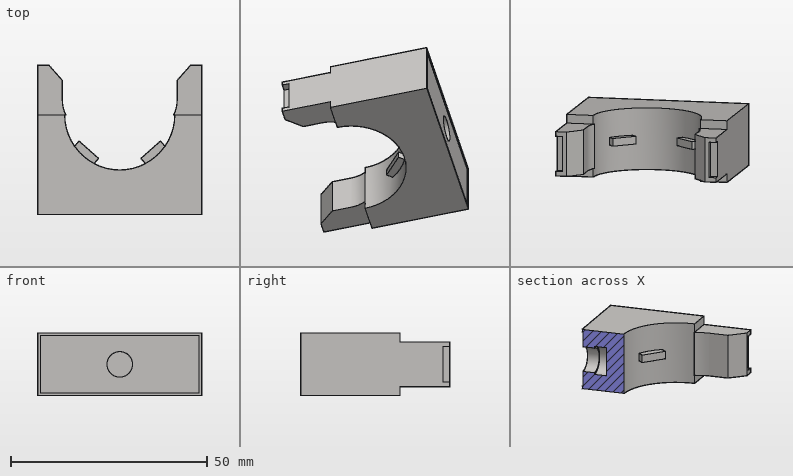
import cadquery as cq
import math

width = 41.91
base_length = 25.4
base_height = 16.0

total_length = 38.1
arm_height = 11.5
arm_inner_half_gap = 14.6
arm_curve_radius = 8.0
arm_root_half_gap = 13.7
tip_width = 2.9
lead_in_length = 3.9

notch_size = 1.778
notch_height = 9.1

bore_radius = 14.0

pad_length = 6.7
pad_face_distance = 11.85
pad_height = 2.0
pad_angle = 48.4

rim_width = 0.7
recess_depth = 0.23
hole_diameter = 6.5
hole_mouth_depth = 3.175
hole_depth = 6.35
hole_back_diameter = 7.4


def make_base():
    block = cq.Workplane("XY").box(width, base_length, base_height, centered=(True, False, True))
    bore = cq.Workplane("XY").center(0, base_length).circle(bore_radius).extrude(base_height)
    bore = bore.translate((0, 0, -base_height / 2))
    return block.cut(bore)


def make_arm():
    """Arm on the +X side, with its lead-in bevel, curved root and tip notch."""
    outer_x = width / 2
    inset = arm_inner_half_gap - arm_root_half_gap
    sweep = math.acos(1 - inset / arm_curve_radius)
    curve_end_y = base_length + arm_curve_radius * math.sin(sweep)
    curve_center_x = arm_inner_half_gap - arm_curve_radius
    curve_mid = (
        curve_center_x + arm_curve_radius * math.cos(sweep / 2),
        curve_end_y - arm_curve_radius * math.sin(sweep / 2),
    )
    arm = (
        cq.Workplane("XY", origin=(0, 0, -arm_height / 2))
        .moveTo(outer_x, base_length)
        .lineTo(outer_x, total_length)
        .lineTo(outer_x - tip_width, total_length)
        .lineTo(arm_inner_half_gap, total_length - lead_in_length)
        .lineTo(arm_inner_half_gap, curve_end_y)
        .threePointArc(curve_mid, (arm_root_half_gap, base_length))
        .close()
        .extrude(arm_height)
    )
    notch = cq.Workplane("XY").box(2 * notch_size, 2 * notch_size, notch_height)
    return arm.cut(notch.translate((outer_x, total_length, 0)))


def make_pad():
    """Pad on the +X side; its back is buried in the wall of the bore."""
    pad_depth = bore_radius - pad_face_distance
    pad = cq.Workplane("XY").box(pad_depth, pad_length, pad_height, centered=(False, True, True))
    pad = pad.translate((pad_face_distance, 0, 0))
    pad = pad.rotate((0, 0, 0), (0, 0, 1), -pad_angle)
    return pad.translate((0, base_length, 0))


def cut_mounting_face(body):
    """Shallow recess inside a narrow rim, with a blind hole in its centre."""
    recess = cq.Workplane("XY").box(
        width - 2 * rim_width,
        2 * recess_depth,
        base_height - 2 * rim_width,
    )
    hole_mouth = cq.Workplane("XZ").circle(hole_diameter / 2).extrude(-(recess_depth + hole_mouth_depth))
    hole_back = (
        cq.Workplane("XZ", origin=(0, recess_depth + hole_mouth_depth, 0))
        .circle(hole_back_diameter / 2)
        .extrude(-(hole_depth - hole_mouth_depth))
    )
    return body.cut(recess).cut(hole_mouth).cut(hole_back)


result = make_base()
for feature in (make_arm(), make_pad()):
    result = result.union(feature).union(feature.mirror("YZ"))
result = cut_mounting_face(result)